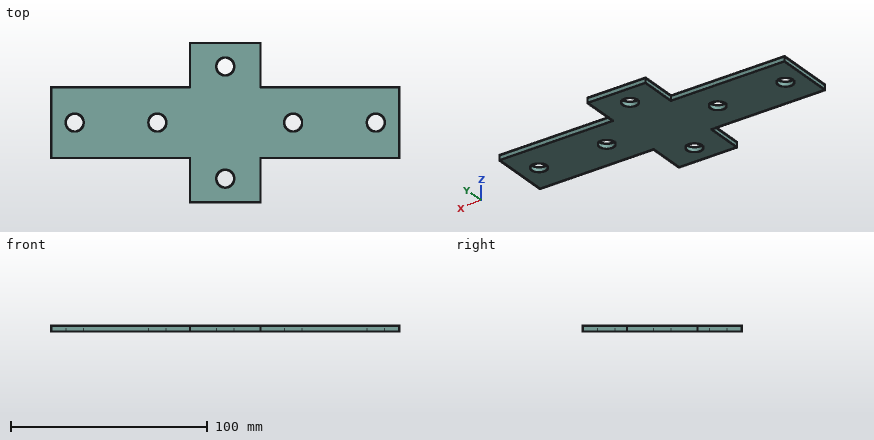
import cadquery as cq

length_x = 177.0
length_y = 81.0
thickness = 3.0
arm_width = 36.0

hole_diameter = 9.0
end_hole_margin = 12.0
hole_spacing_x = 42.0

end_hole_x = length_x / 2 - end_hole_margin
inner_hole_x = end_hole_x - hole_spacing_x
end_hole_y = length_y / 2 - end_hole_margin


def cross_plate():
    """Flat cross made of two bars crossing at their middles, resting on Z = 0."""
    on_base = (True, True, False)
    long_bar = cq.Workplane("XY").box(length_x, arm_width, thickness, centered=on_base)
    short_bar = cq.Workplane("XY").box(arm_width, length_y, thickness, centered=on_base)
    return long_bar.union(short_bar).clean()


def drill_holes(plate):
    """Two holes in each long arm and one in each short arm, all through the plate."""
    centres = []
    for side in (-1, 1):
        centres.append((side * end_hole_x, 0))
        centres.append((side * inner_hole_x, 0))
        centres.append((0, side * end_hole_y))
    return plate.faces(">Z").workplane(origin=(0, 0, 0)).pushPoints(centres).hole(hole_diameter)


result = drill_holes(cross_plate())